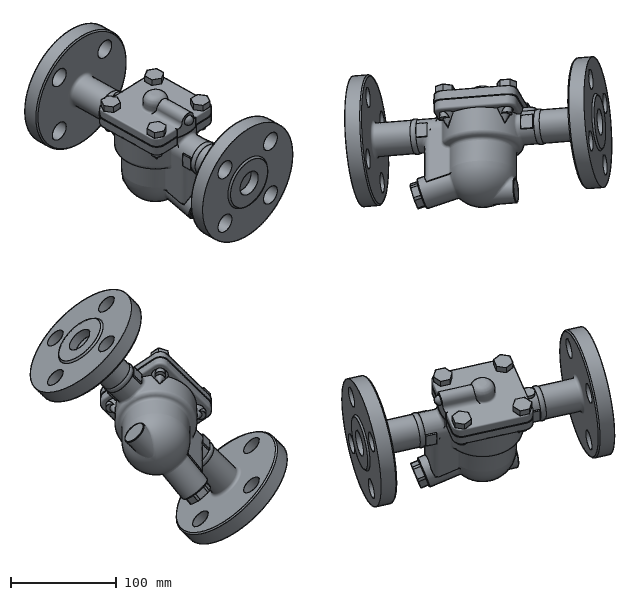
import cadquery as cq
import math


touch_tolerance = 0.002

half_length = 117.5
flange_diameter = 124.0
flange_thickness = 16.0
flange_chamfer = 1.5
face_height = 1.9
face_diameter = 54.5
face_chamfer = 1.6
bolt_hole_diameter = 19.0
bolt_circle_diameter = 88.4
bore_diameter = 25.0
bore_depth = 9.5
pipe_diameter = 32.0
hub_radius = 3.3
weld_position = 59.7
weld_width = 5.5
weld_height = 1.0
neck_end_x = weld_position - weld_width / 2

body_x = -4.2
upper_radius = 38.8
lower_radius = 32.2
dome_centre_z = -42.8
shoulder_z = -13.6
shoulder_round = 5.0
shoulder_hollow = 3.5
body_blend = 2.5
shortest_blend = 2.0

plate_side = 80.0
plate_corner = 9.2
plate_bottom_z = 9.2
joint_z = 19.3
lid_top_z = 29.0
lid_edge_round = 1.5
plate_edge_round = 2.0
gasket_thickness = 0.7
gasket_inset = 0.35

bolt_offset = 29.96
head_width = 16.2
head_top_z = 35.5
bolt_end_diameter = 10.0
bolt_end_z = 3.8
gusset_tip_z = -4.7
gusset_radius = 8.0
head_turns = {(-1, 1): 0, (1, 1): 30, (-1, -1): 30, (1, -1): 0}

cap_radius = 11.8
cap_top_z = 44.0
cap_round = 7.5
cap_blend = 2.0
tube_radius = 7.8
tube_z = 34.0
ball_diameter = 10.0
tube_reach = 42.5
bulge_radius = 43.0
bulge_bottom_z = 5.5

rib_end_x = 49.8
rib_end_round = 7.0
rib_above_drain = 3.5

drain_slope = 15.0
drain_diameter = 30.0
drain_length = 60.9
drain_chamfer = 1.0
plug_diameter = 25.4
plug_across_flats = 23.3
plug_length = 7.5
plug_turn = 5.0

boss_diameter = 23.5
boss_z = -62.7
boss_end_x = -36.7
boss_chamfer = 0.7

pad_offset = 16.2
pad_height = 13.6
left_pad_x = (-56.2, -44.5)
right_pad_x = (46.0, 56.6)
tab_end_x = -56.0
tab_width = 11.5
tab_top_z = 18.5


def along_x(x, z=0.0):
    """Plane at the given x whose normal points along +X."""
    return cq.Workplane("YZ", origin=(x, 0, z))


def on_body_axis(z):
    """Horizontal plane at height z, centred on the body axis."""
    return cq.Workplane("XY", origin=(body_x, 0, z))


def rod(x_start, x_end, diameter):
    return along_x(x_start).circle(diameter / 2).extrude(x_end - x_start)


def pipe_end():
    """Right-hand half of the flanged pipe, from the origin outwards."""
    back = half_length - face_height - flange_thickness
    front = half_length - face_height
    radius = pipe_diameter / 2
    weld_start = weld_position - weld_width / 2
    end = (
        cq.Workplane("XZ")
        .moveTo(0, 0)
        .lineTo(0, radius)
        .lineTo(weld_start, radius)
        .threePointArc((weld_position, radius + weld_height), (weld_start + weld_width, radius))
        .lineTo(back - hub_radius, radius)
        .radiusArc((back, radius + hub_radius), -hub_radius)
        .lineTo(back, flange_diameter / 2 - flange_chamfer)
        .lineTo(back + flange_chamfer, flange_diameter / 2)
        .lineTo(front, flange_diameter / 2)
        .lineTo(front, face_diameter / 2)
        .lineTo(half_length, face_diameter / 2 - face_chamfer)
        .lineTo(half_length, 0)
        .close()
        .revolve(360, (0, 0, 0), (1, 0, 0))
    )
    hole_pitch = bolt_circle_diameter / math.sqrt(2)
    holes = (
        along_x(back)
        .rect(hole_pitch, hole_pitch, forConstruction=True)
        .vertices()
        .circle(bolt_hole_diameter / 2)
        .extrude(flange_thickness)
    )
    bore = rod(half_length - bore_depth, half_length, bore_diameter)
    return end.cut(holes).cut(bore)


def body_shell():
    """Turned body: upper barrel, S-shaped shoulder, lower barrel and half-round bottom."""
    step = upper_radius - lower_radius
    turn = math.acos(1 - step / (shoulder_round + shoulder_hollow))
    middle = (
        upper_radius - shoulder_round * (1 - math.cos(turn)),
        shoulder_z - shoulder_round * math.sin(turn),
    )
    neck_z = middle[1] - shoulder_hollow * math.sin(turn)
    slant = lower_radius / math.sqrt(2)
    return (
        cq.Workplane("XZ", origin=(body_x, 0, 0))
        .moveTo(0, joint_z)
        .lineTo(upper_radius, joint_z)
        .lineTo(upper_radius, shoulder_z)
        .radiusArc(middle, shoulder_round)
        .radiusArc((lower_radius, neck_z), -shoulder_hollow)
        .lineTo(lower_radius, dome_centre_z)
        .threePointArc((slant, dome_centre_z - slant), (0, dome_centre_z - lower_radius))
        .close()
        .revolve(360, (0, 0, 0), (0, 1, 0))
    )


def outlet_bulge():
    """Widening under the lid towards the outlet, rounded about the body axis."""
    height = joint_z - bulge_bottom_z
    width = 2 * (tube_radius + tube_z - lid_top_z)
    block = on_body_axis(bulge_bottom_z).rect(2 * bulge_radius, width).extrude(height)
    left_half = on_body_axis(bulge_bottom_z).center(-bulge_radius, 0).rect(2 * bulge_radius, width)
    barrel = on_body_axis(bulge_bottom_z).circle(bulge_radius).extrude(height)
    return block.cut(left_half.extrude(height)).intersect(barrel)


def rib():
    slope = math.tan(math.radians(drain_slope))
    start_z = dome_centre_z + rib_above_drain / math.cos(math.radians(drain_slope))
    end_z = start_z - (rib_end_x - body_x) * slope
    return (
        cq.Workplane("XZ")
        .polyline([(body_x, 0), (rib_end_x, 0), (rib_end_x, end_z), (body_x, start_z)])
        .close()
        .extrude(pipe_diameter / 2, both=True)
        .edges("|Z and >X")
        .fillet(rib_end_round)
    )


def drain_plane():
    """Plane through the centre of the body bottom, square to the sloping drain."""
    angle = math.radians(drain_slope)
    return cq.Plane(
        origin=(body_x, 0, dome_centre_z),
        xDir=(0, 1, 0),
        normal=(math.cos(angle), 0, -math.sin(angle)),
    )


def drain_pipe():
    pipe = cq.Workplane(drain_plane()).circle(drain_diameter / 2).extrude(drain_length)
    return pipe.faces(">X").chamfer(drain_chamfer)


def drain_plug():
    """Hexagon plug with its corners turned down to a round."""
    end_plane = cq.Workplane(drain_plane()).workplane(offset=drain_length)
    hexagon = (
        end_plane.transformed(rotate=(0, 0, 90 - plug_turn))
        .polygon(6, plug_across_flats / math.cos(math.pi / 6))
        .extrude(plug_length)
    )
    return hexagon.intersect(end_plane.circle(plug_diameter / 2).extrude(plug_length))


def side_boss():
    boss = along_x(boss_end_x, boss_z).circle(boss_diameter / 2).extrude(body_x - boss_end_x)
    return boss.faces("<X").chamfer(boss_chamfer)


def wrench_pads(x_range):
    start, end = x_range
    return along_x(start).rect(2 * pad_offset, pad_height).extrude(end - start)


def tab():
    """Flat tab with a round end, lying along the top of the pipe towards the body."""
    length = body_x - tab_end_x
    radius = tab_width / 2
    strip = cq.Workplane("XY").center(tab_end_x + (radius + length) / 2, 0).rect(length - radius, tab_width)
    end = cq.Workplane("XY").center(tab_end_x + radius, 0).circle(radius)
    return strip.extrude(tab_top_z).union(end.extrude(tab_top_z))


def plate(bottom, top, side):
    return on_body_axis(bottom).rect(side, side).extrude(top - bottom).edges("|Z").fillet(plate_corner)


def lid():
    lower = plate(plate_bottom_z, joint_z, plate_side).faces("<Z").edges().fillet(plate_edge_round)
    gasket_top = joint_z + gasket_thickness
    gasket = plate(joint_z, gasket_top, plate_side - 2 * gasket_inset)
    upper = plate(gasket_top, lid_top_z, plate_side).faces(">Z").edges().fillet(lid_edge_round)
    return lower.union(gasket).union(upper)


def cap():
    flat_radius = cap_radius - cap_round
    slant = cap_round / math.sqrt(2)
    round_z = cap_top_z - cap_round
    return (
        cq.Workplane("XZ", origin=(body_x, 0, 0))
        .moveTo(0, joint_z)
        .lineTo(cap_radius + cap_blend, joint_z)
        .lineTo(cap_radius + cap_blend, lid_top_z)
        .radiusArc((cap_radius, lid_top_z + cap_blend), cap_blend)
        .lineTo(cap_radius, round_z)
        .threePointArc((flat_radius + slant, round_z + slant), (flat_radius, cap_top_z))
        .lineTo(0, cap_top_z)
        .close()
        .revolve(360, (0, 0, 0), (0, 1, 0))
    )


def outlet_tube():
    """Tube on the lid, round on top and flaring into the lid, with a foot that stands on the bulge."""
    flare = tube_z - lid_top_z
    foot = tube_radius + flare
    tube = (
        along_x(body_x)
        .moveTo(-foot, joint_z)
        .lineTo(-foot, lid_top_z)
        .radiusArc((-tube_radius, tube_z), -flare)
        .threePointArc((0, tube_z + tube_radius), (tube_radius, tube_z))
        .radiusArc((foot, lid_top_z), -flare)
        .lineTo(foot, joint_z)
        .close()
        .extrude(2 * tube_reach)
    )
    barrel = on_body_axis(joint_z).circle(tube_reach).extrude(cap_top_z - joint_z)
    ball = cq.Workplane("XY", origin=(body_x + tube_reach, 0, tube_z)).sphere(ball_diameter / 2)
    return tube.intersect(barrel).union(ball)


def lid_bolt(side_x, side_y):
    """Hexagon head, threaded end below the flange, and the cone that carries it."""
    x = side_x * bolt_offset
    y = side_y * bolt_offset
    head = (
        on_body_axis(lid_top_z)
        .center(x, y)
        .transformed(rotate=(0, 0, head_turns[side_x, side_y]))
        .polygon(6, head_width / math.cos(math.pi / 6))
        .extrude(head_top_z - lid_top_z)
    )
    end = on_body_axis(bolt_end_z).center(x, y).circle(bolt_end_diameter / 2).extrude(joint_z - bolt_end_z)
    tip = upper_radius / math.sqrt(2)
    cone = cq.Solid.makeCone(
        0,
        gusset_radius,
        plate_bottom_z - gusset_tip_z,
        pnt=cq.Vector(body_x + side_x * tip, side_y * tip, gusset_tip_z),
    )
    return head.union(end).union(cq.Workplane(cone))


def meeting_edges(solid, first, second):
    """Edges of the solid that lie on the surfaces of both given shapes."""
    surfaces = [shape.val().Shells()[0] for shape in (first, second)]
    edges = []
    for edge in solid.edges().vals():
        middle = cq.Vertex.makeVertex(*edge.positionAt(0.5).toTuple())
        if all(surface.distance(middle) < touch_tolerance for surface in surfaces):
            edges.append(edge)
    return edges


def casting():
    """Body with the shapes cast onto it, blended where they meet."""
    body = body_shell()
    neck = rod(-neck_end_x, neck_end_x, pipe_diameter)
    bulge = outlet_bulge()
    web = rib()
    drain = drain_pipe()
    boss = side_boss()
    cast = body.union(boss).union(drain).union(web).union(neck).union(bulge)
    joints = [(body, boss), (body, drain), (body, web), (body, neck), (body, bulge), (neck, bulge)]
    blends = []
    for first, second in joints:
        blends += meeting_edges(cast, first, second)
    blends += [edge for edge in meeting_edges(cast, neck, web) if edge.geomType() != "LINE"]
    blends = [edge for edge in blends if edge.Length() > shortest_blend]
    return cast.newObject(blends).fillet(body_blend)


right_end = pipe_end()
left_end = right_end.mirror("YZ")

result = casting().union(left_end).union(right_end).union(drain_plug()).union(tab())
for pad_range in (left_pad_x, right_pad_x):
    result = result.union(wrench_pads(pad_range))
result = result.union(lid()).union(cap()).union(outlet_tube())
for bolt_side_x, bolt_side_y in head_turns:
    result = result.union(lid_bolt(bolt_side_x, bolt_side_y))